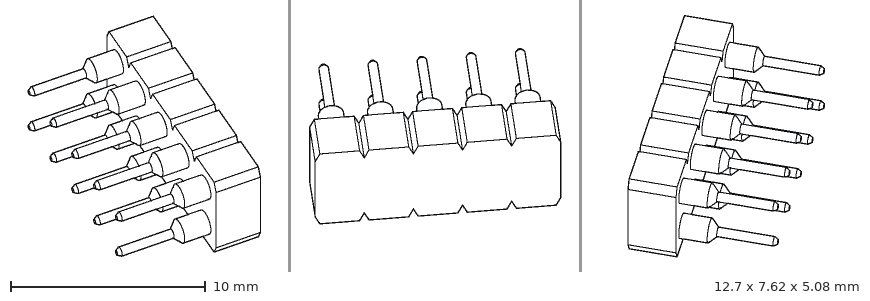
import cadquery as cq

columns = 5
rows = 2
pitch = 2.54

body_length = columns * pitch
body_height = rows * pitch
body_depth = 2.54
notch_depth = 0.53
notch_half_width = 0.24

sleeve_radius = 0.66
sleeve_length = 1.5
cone_end = 1.9
pin_radius = 0.25
pin_length = 5.08
tip_length = 0.2
tip_radius = 0.13


def make_body():
    """Block with V-notches between columns and matching bevels at its corners."""
    body = cq.Workplane("XY").box(
        body_length, body_depth, body_height, centered=(True, False, True)
    )
    edge_z = body_height / 2
    for boundary in range(columns + 1):
        x = boundary * pitch - body_length / 2
        for side in (1, -1):
            notch = (
                cq.Workplane("XZ")
                .moveTo(x - notch_half_width, side * edge_z)
                .lineTo(x, side * (edge_z - notch_depth))
                .lineTo(x + notch_half_width, side * edge_z)
                .close()
                .extrude(-body_depth)
            )
            body = body.cut(notch)
    return body


def make_pin():
    """Stepped pin turned about the Y axis, with its base on Y = 0."""
    return (
        cq.Workplane("XY")
        .moveTo(0, 0)
        .lineTo(sleeve_radius, 0)
        .lineTo(sleeve_radius, -sleeve_length)
        .lineTo(pin_radius, -cone_end)
        .lineTo(pin_radius, tip_length - pin_length)
        .lineTo(tip_radius, -pin_length)
        .lineTo(0, -pin_length)
        .close()
        .revolve(360, (0, 0, 0), (0, 1, 0))
    )


result = make_body()
pin = make_pin()
for column in range(columns):
    for row in range(rows):
        x = (column - (columns - 1) / 2) * pitch
        z = (row - (rows - 1) / 2) * pitch
        result = result.union(pin.translate((x, 0, z)))